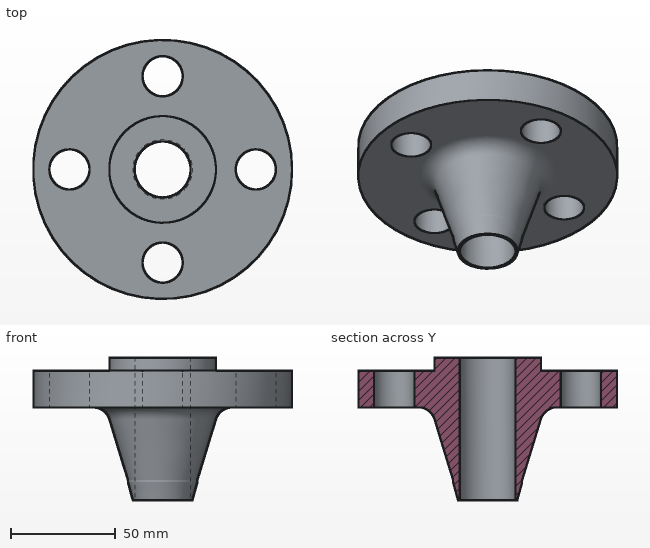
import cadquery as cq
import math

flange_diameter = 123.8
flange_thickness = 17.6
face_diameter = 51.0
face_height = 6.3
bore_diameter = 26.6

bolt_count = 4
bolt_hole_diameter = 19.1
bolt_circle_diameter = 89.0

hub_length = 44.3
hub_root_radius = 25.5
fillet_height = 5.6
neck_radius = 16.6
band_height = 1.1
bevel_height = 8.5
tip_radius = 14.2

band_bottom = bevel_height
band_top = band_bottom + band_height
flange_bottom = hub_length
fillet_bottom = flange_bottom - fillet_height
flange_top = flange_bottom + flange_thickness
face_top = flange_top + face_height

cone_angle = math.atan2(hub_root_radius - neck_radius, fillet_bottom - band_top)
fillet_radius = fillet_height / (1 - math.sin(cone_angle))
fillet_center_r = hub_root_radius + fillet_radius * math.cos(cone_angle)
fillet_center_z = flange_bottom - fillet_radius
contact_angle = math.pi - cone_angle
mid_angle = (math.pi / 2 + contact_angle) / 2
fillet_mid = (
    fillet_center_r + fillet_radius * math.cos(mid_angle),
    fillet_center_z + fillet_radius * math.sin(mid_angle),
)


def revolved_body():
    """Turn the half section of flange, raised face and hub about Z."""
    profile = (
        cq.Workplane("XZ")
        .moveTo(0, 0)
        .lineTo(tip_radius, 0)
        .lineTo(neck_radius, band_bottom)
        .lineTo(neck_radius, band_top)
        .lineTo(hub_root_radius, fillet_bottom)
        .threePointArc(fillet_mid, (fillet_center_r, flange_bottom))
        .lineTo(flange_diameter / 2, flange_bottom)
        .lineTo(flange_diameter / 2, flange_top)
        .lineTo(face_diameter / 2, flange_top)
        .lineTo(face_diameter / 2, face_top)
        .lineTo(0, face_top)
        .close()
    )
    return profile.revolve(360, (0, 0, 0), (0, 1, 0))


def bore():
    return cq.Workplane("XY").circle(bore_diameter / 2).extrude(face_top)


def bolt_holes():
    return (
        cq.Workplane("XY")
        .workplane(offset=flange_bottom)
        .polarArray(bolt_circle_diameter / 2, 0, 360, bolt_count)
        .circle(bolt_hole_diameter / 2)
        .extrude(flange_thickness)
    )


result = revolved_body().cut(bore()).cut(bolt_holes())